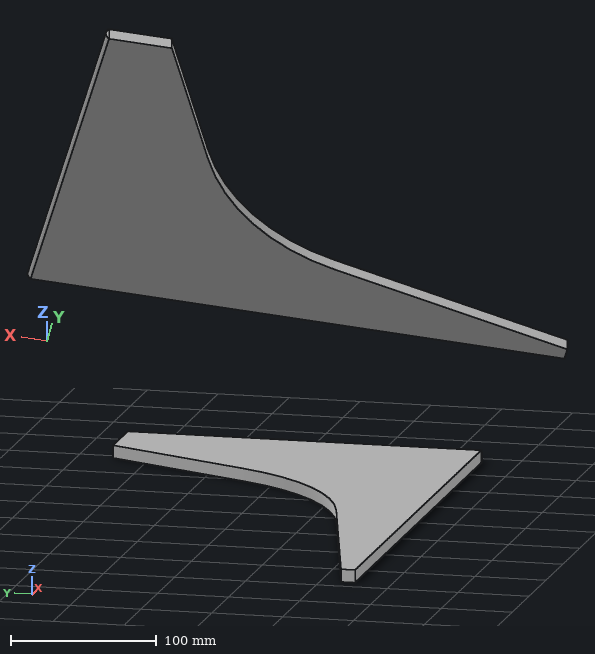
import cadquery as cq

total_length = 377.5
depth = 249.5
thickness = 9.0

strip_bulge = 2.3

board_length = total_length - strip_bulge
tip_width = 10.0
top_width = 44.0
bend_x = 249.5
bend_y = 74.0
bend_radius = 166.0


def make_board():
    """Flat bracket board with a large concave bend between its two arms."""
    board = (
        cq.Workplane("XY")
        .moveTo(0, 0)
        .lineTo(board_length, 0)
        .lineTo(board_length, depth)
        .lineTo(board_length - top_width, depth)
        .lineTo(bend_x, bend_y)
        .lineTo(0, tip_width)
        .close()
        .extrude(thickness)
    )
    bend_edge = cq.selectors.NearestToPointSelector((bend_x, bend_y, thickness / 2))
    return board.edges("|Z").edges(bend_edge).fillet(bend_radius)


def make_edge_strip():
    """Strip with a convex outer face, covering the straight +X side of the board."""
    return (
        cq.Workplane("XZ")
        .moveTo(board_length, 0)
        .threePointArc((total_length, thickness / 2), (board_length, thickness))
        .close()
        .extrude(-depth)
    )


board = make_board()
edge_strip = make_edge_strip()

result = cq.Compound.makeCompound([board.val(), edge_strip.val()])